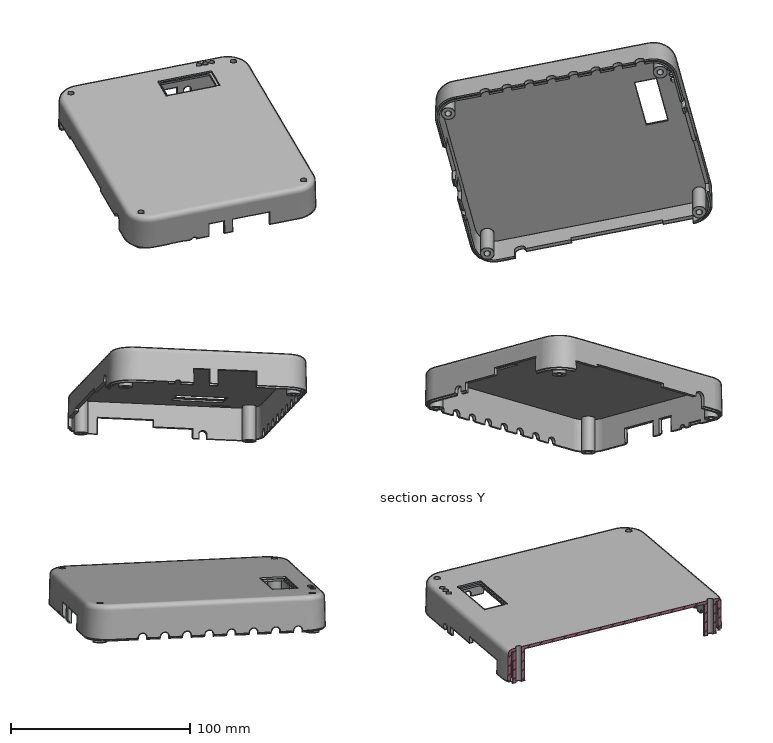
import cadquery as cq

LENGTH = 137.9
WIDTH = 112.2
HEIGHT = 21.9
CORNER_RADIUS = 13.4
DRAFT_ANGLE = 1.4
TOP_FILLET = 3.0
WALL = 2.0
TOP_THICKNESS = 2.0

LIP_BOTTOM = 1.5
SHELL_BOTTOM = 2.5
LIP_INSET = 1.0

POST_DIAMETER = 7.7
SCREW_HOLE_DIAMETER = 3.5
POST_X = 60.7
POST_Y = 47.8

INDICATOR_DIAMETER = 3.0
INDICATOR_X = -63.7
INDICATOR_Y = 32.4
INDICATOR_PITCH = 3.7
INDICATOR_COUNT = 3

WINDOW_X = -48.4
WINDOW_LENGTH = 12.5
WINDOW_Y = 17.2
WINDOW_WIDTH = 29.0
LEDGE_LENGTH = 14.6
LEDGE_Y = 17.5
LEDGE_WIDTH = 31.5
LEDGE_DEPTH = 1.0

CABLE_ARCH_WIDTH = 5.1
CABLE_ARCH_TOP = 5.2
CABLE_ARCH_PITCH = 12.7
CABLE_ARCH_COUNT = 8
FIRST_CABLE_ARCH_X = -50.7

FRONT_ARCH_X = 43.3
FRONT_ARCH_WIDTH = 6.5
FRONT_ARCH_TOP = 10.3

FRONT_STRETCHES = [
    (CORNER_RADIUS - LENGTH / 2, -38.2, 7.5),
    (-38.2, 14.2, 9.0),
    (14.2, FRONT_ARCH_X, 7.0),
]

LEFT_STRETCHES = [
    (-37.2, -5.2, 11.0),
    (-5.2, 17.1, 7.0),
]
LEFT_ARCH_Y = 22.9
LEFT_ARCH_WIDTH = 4.5
LEFT_ARCH_TOP = 6.2

RIGHT_OPENINGS = [
    (-10.6, -1.4, 10.6),
    (3.3, 25.4, 10.6),
]
RIGHT_ARCH_Y = -19.5
RIGHT_ARCH_WIDTH = 3.5
RIGHT_ARCH_TOP = 3.6
RECESS_Y = -29.0
RECESS_WIDTH = 8.5
RECESS_TOP = 3.6

CUT_REACH = 3.5


def rounded_prism(inset, bottom, top, draft=0.0):
    """Plan outline moved inward by inset, extruded from bottom to top."""
    return (
        cq.Workplane("XY")
        .workplane(offset=bottom)
        .sketch()
        .rect(LENGTH - 2 * inset, WIDTH - 2 * inset)
        .vertices()
        .fillet(CORNER_RADIUS - inset)
        .finalize()
        .extrude(top - bottom, taper=draft)
    )


def box(x_range, y_range, z_range):
    """Box between the given limits on each axis."""
    (x0, x1), (y0, y1), (z0, z1) = x_range, y_range, z_range
    return cq.Workplane("XY").box(x1 - x0, y1 - y0, z1 - z0, centered=False).translate((x0, y0, z0))


def x_wall_cut(side, y_start, y_end, top):
    """Rectangular cutter, open below, through the wall at side * LENGTH / 2."""
    face = side * LENGTH / 2
    return box((face - CUT_REACH, face + CUT_REACH), (y_start, y_end), (0, top))


def y_wall_cut(side, x_start, x_end, top):
    """Rectangular cutter, open below, through the wall at side * WIDTH / 2."""
    face = side * WIDTH / 2
    return box((x_start, x_end), (face - CUT_REACH, face + CUT_REACH), (0, top))


def x_wall_arch(side, y, width, top):
    """Round-topped cutter through the wall at side * LENGTH / 2."""
    spring = top - width / 2
    crown = (
        cq.Workplane("YZ", origin=(side * LENGTH / 2, y, spring))
        .circle(width / 2)
        .extrude(CUT_REACH, both=True)
    )
    return crown.union(x_wall_cut(side, y - width / 2, y + width / 2, spring))


def y_wall_arch(side, x, width, top):
    """Round-topped cutter through the wall at side * WIDTH / 2."""
    spring = top - width / 2
    crown = (
        cq.Workplane("XZ", origin=(x, side * WIDTH / 2, spring))
        .circle(width / 2)
        .extrude(CUT_REACH, both=True)
    )
    return crown.union(y_wall_cut(side, x - width / 2, x + width / 2, spring))


shell = rounded_prism(0, SHELL_BOTTOM, HEIGHT, DRAFT_ANGLE).faces(">Z").edges().fillet(TOP_FILLET)
lip = rounded_prism(LIP_INSET, LIP_BOTTOM, SHELL_BOTTOM)
result = shell.union(lip)

ceiling = HEIGHT - TOP_THICKNESS
result = result.cut(rounded_prism(WALL, LIP_BOTTOM, ceiling, DRAFT_ANGLE))

for start, end, top in FRONT_STRETCHES:
    result = result.cut(y_wall_cut(-1, start, end, top))
result = result.cut(y_wall_arch(-1, FRONT_ARCH_X, FRONT_ARCH_WIDTH, FRONT_ARCH_TOP))

for i in range(CABLE_ARCH_COUNT):
    arch_x = FIRST_CABLE_ARCH_X + i * CABLE_ARCH_PITCH
    result = result.cut(y_wall_arch(1, arch_x, CABLE_ARCH_WIDTH, CABLE_ARCH_TOP))

for start, end, top in LEFT_STRETCHES:
    result = result.cut(x_wall_cut(-1, start, end, top))
result = result.cut(x_wall_arch(-1, LEFT_ARCH_Y, LEFT_ARCH_WIDTH, LEFT_ARCH_TOP))

for start, end, top in RIGHT_OPENINGS:
    result = result.cut(x_wall_cut(1, start, end, top))
result = result.cut(x_wall_arch(1, RIGHT_ARCH_Y, RIGHT_ARCH_WIDTH, RIGHT_ARCH_TOP))
recess_face = LENGTH / 2 - LIP_INSET
recess = box(
    (recess_face - CUT_REACH, recess_face),
    (RECESS_Y - RECESS_WIDTH / 2, RECESS_Y + RECESS_WIDTH / 2),
    (0, RECESS_TOP),
)
result = result.cut(recess)

post_points = [(sx * POST_X, sy * POST_Y) for sx in (-1, 1) for sy in (-1, 1)]
posts = cq.Workplane("XY").pushPoints(post_points).circle(POST_DIAMETER / 2).extrude(ceiling)
screw_holes = cq.Workplane("XY").pushPoints(post_points).circle(SCREW_HOLE_DIAMETER / 2).extrude(HEIGHT)
result = result.union(posts).cut(screw_holes)

indicators = (
    cq.Workplane("XY", origin=(INDICATOR_X, INDICATOR_Y, ceiling))
    .rarray(1.4, INDICATOR_PITCH, 1, INDICATOR_COUNT)
    .circle(INDICATOR_DIAMETER / 2)
    .extrude(TOP_THICKNESS)
)
result = result.cut(indicators)

window = (
    cq.Workplane("XY", origin=(WINDOW_X, WINDOW_Y, ceiling))
    .rect(WINDOW_LENGTH, WINDOW_WIDTH)
    .extrude(TOP_THICKNESS)
)
ledge = (
    cq.Workplane("XY", origin=(WINDOW_X, LEDGE_Y, HEIGHT - LEDGE_DEPTH))
    .rect(LEDGE_LENGTH, LEDGE_WIDTH)
    .extrude(LEDGE_DEPTH)
)
result = result.cut(window).cut(ledge)